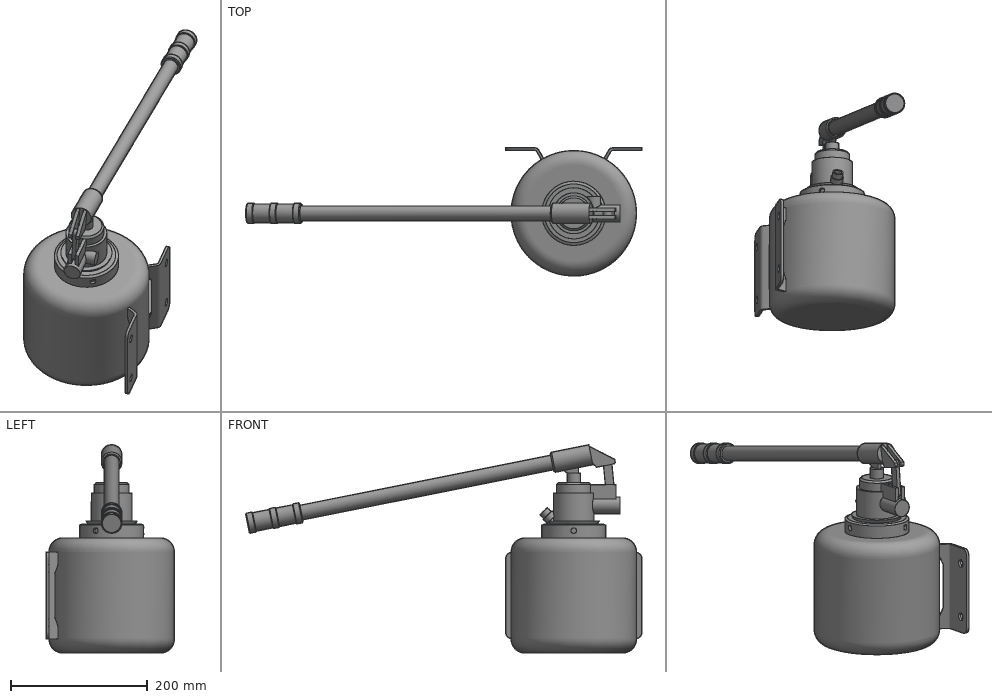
import cadquery as cq
import math


overall_length = 580.5
overall_width = 188.0
overall_height = 305.5

tank_diameter = 184.0
tank_radius = tank_diameter / 2
tank_height = 169.0
tank_fillet = 21.0

collar_diameter = 94.0
collar_height = 20.5
collar_chamfer_width = 4.0
collar_chamfer_height = 2.0
collar_top = tank_height + collar_height
set_screw_hole_diameter = 8.0
set_screw_hole_depth = 4.5
set_screw_hole_z = tank_height + 10.5
set_screw_angles = (-90, 30, 150)

bracket_half_width = 100.0
bracket_back_y = overall_width - tank_radius
bracket_thickness = 4.0
bracket_bottom = tank_fillet
bracket_height = tank_height - 2 * tank_fillet
bracket_corner_radius = 10.0
web_angle = 60
web_bend_radius = 3.5
bracket_hole_diameter = 11.0
bracket_hole_spacing = 80.0
bracket_hole_edge_distance = 16.0
relief_depth = 5.0
relief_end_land = 19.0
relief_slope_height = 11.5

flange_top_diameter = 75.0
flange_bottom_diameter = 70.0
flange_height = 4.5
barrel_diameter = 60.0
barrel_height = 40.5
cap_diameter = 51.0
cap_height = 15.0
cap_chamfer = 3.0
flange_top = collar_top + flange_height
barrel_top = flange_top + barrel_height
cap_top = barrel_top + cap_height

outlet_diameter = 25.0
outlet_z = 216.5
outlet_end_x = 68.0
side_port_diameter = 20.0
side_port_x = 29.5
side_port_end_y = 25.0

filler_angle = 45
filler_tip_x = -44.0
filler_tip_z = 208.0
filler_tip_diameter = 15.0
filler_tip_length = 8.0
filler_neck_diameter = 18.0
filler_length = 17.0
filler_bore_diameter = 11.0
filler_bore_depth = 8.0

clevis_gap = 6.0
clevis_plate = 5.0
lug_start_x = 20.5
lug_end_x = 62.0
lug_top = cap_top - cap_chamfer

rod_diameter = 20.0
rod_top = 263.5
rod_bottom = barrel_top
tongue_right_x = 7.0
tongue_left_x = -15.5
tongue_foot_left_x = -9.0
tongue_shoulder_z = 268.0
tongue_top = 280.0

lever_angle = 11.3
lever_origin_x = 25.0
tube_diameter = 22.0
sleeve_diameter = 30.0
sleeve_length = 58.0
sleeve_chamfer = 2.5
grip_diameter = 28.0
grip_ring_diameter = 30.0
grip_ring_width = 11.0
grip_ring_pitch = 35.0
grip_ring_count = 3
grip_ring_chamfer = 1.45
lever_cos = math.cos(math.radians(lever_angle))
lever_sin = math.sin(math.radians(lever_angle))
lever_origin_z = overall_height - sleeve_diameter / 2 * lever_cos
grip_end_radius = grip_ring_diameter / 2 - grip_ring_chamfer
lever_left_x = bracket_half_width - overall_length
lever_length = (lever_origin_x - lever_left_x - grip_end_radius * lever_sin) / lever_cos
fork_length = 33.0
fork_bottom_v = -20.0
fork_shoulder_v = 13.0
fork_tip_top_v = -13.5
fork_tip_chamfer = 2.0
fork_heel_u = 4.5

link_width = 13.0
link_bottom_x = 53.5
link_bottom_z = 237.5
link_top_x = 49.5
link_top_z = 279.0


def upright_cylinder(diameter, bottom, height):
    """Cylinder on the Z axis."""
    return cq.Workplane("XY").workplane(offset=bottom).circle(diameter / 2).extrude(height)


def cylinder_along(diameter, start, direction, length):
    """Cylinder that runs from a start point in a given direction."""
    return cq.Workplane(cq.Solid.makeCylinder(diameter / 2, length, cq.Vector(*start), cq.Vector(*direction)))


def make_collar():
    """Chamfered ring on the tank with blind radial set screw holes."""
    collar = upright_cylinder(collar_diameter, tank_height, collar_height)
    collar = collar.faces(">Z").edges().chamfer(collar_chamfer_height, collar_chamfer_width)
    for angle in set_screw_angles:
        cos_a = math.cos(math.radians(angle))
        sin_a = math.sin(math.radians(angle))
        outer = collar_diameter / 2
        start = (outer * cos_a, outer * sin_a, set_screw_hole_z)
        collar = collar.cut(
            cylinder_along(set_screw_hole_diameter, start, (-cos_a, -sin_a, 0), set_screw_hole_depth)
        )
    return collar


def make_left_wing():
    """Flat wall flange, a bend, and a web that points at the tank axis."""
    middle_y = bracket_back_y - bracket_thickness / 2
    cos_w = math.cos(math.radians(web_angle))
    sin_w = math.sin(math.radians(web_angle))
    half = bracket_thickness / 2
    bend_x = -middle_y / math.tan(math.radians(web_angle))
    miter = half * math.tan(math.radians(web_angle / 2))
    inner_radius = tank_radius - bracket_thickness

    def web_point(radius, side):
        return (-radius * cos_w + side * half * sin_w, radius * sin_w + side * half * cos_w)

    outline = [
        (-bracket_half_width, bracket_back_y),
        (bend_x + miter, bracket_back_y),
        web_point(inner_radius, 1),
        web_point(inner_radius, -1),
        (bend_x - miter, bracket_back_y - bracket_thickness),
        (-bracket_half_width, bracket_back_y - bracket_thickness),
    ]
    wing = cq.Workplane("XY").workplane(offset=bracket_bottom).polyline(outline).close().extrude(bracket_height)
    inner_bend = cq.selectors.NearestToPointSelector((*outline[4], bracket_bottom + bracket_height / 2))
    outer_bend = cq.selectors.NearestToPointSelector((*outline[1], bracket_bottom + bracket_height / 2))
    wing = wing.edges("|Z").edges(inner_bend).fillet(web_bend_radius)
    wing = wing.edges("|Z").edges(outer_bend).fillet(web_bend_radius + bracket_thickness)
    wing = wing.faces("<X").edges("|Y").fillet(bracket_corner_radius)
    return wing.cut(flange_holes()).cut(web_relief())


def flange_holes():
    """Two screw holes through the wall flange, one above the other."""
    hole_x = -bracket_half_width + bracket_hole_edge_distance
    middle_z = bracket_bottom + bracket_height / 2
    return (
        cq.Workplane("XZ", origin=(hole_x, bracket_back_y, middle_z))
        .rarray(6, bracket_hole_spacing, 1, 2)
        .circle(bracket_hole_diameter / 2)
        .extrude(bracket_thickness)
    )


def web_relief():
    """Ring around the tank that frees the middle of the web from the tank wall."""
    low = bracket_bottom + relief_end_land
    high = bracket_bottom + bracket_height - relief_end_land
    outer = tank_radius + relief_depth
    return (
        cq.Workplane("XZ")
        .moveTo(0, low)
        .lineTo(tank_radius, low)
        .lineTo(outer, low + relief_slope_height)
        .lineTo(outer, high - relief_slope_height)
        .lineTo(tank_radius, high)
        .lineTo(0, high)
        .close()
        .revolve(360, (0, 0), (0, 1))
    )


def make_tank():
    """Rounded tank with both bracket wings and the collar welded on."""
    shell = upright_cylinder(tank_diameter, 0, tank_height).edges().fillet(tank_fillet)
    left_wing = make_left_wing()
    right_wing = left_wing.mirror("YZ")
    return shell.union(left_wing).union(right_wing).union(make_collar())


def add_filler(body):
    """Slanted filler tube with a stepped tip and an open bore."""
    cos_f = math.cos(math.radians(filler_angle))
    sin_f = math.sin(math.radians(filler_angle))
    inward = (cos_f, 0, -sin_f)
    tip = (filler_tip_x, 0, filler_tip_z)
    neck = (filler_tip_x + filler_tip_length * cos_f, 0, filler_tip_z - filler_tip_length * sin_f)
    neck_length = filler_length - filler_tip_length
    body = body.union(cylinder_along(filler_tip_diameter, tip, inward, filler_tip_length))
    body = body.union(cylinder_along(filler_neck_diameter, neck, inward, neck_length))
    return body.cut(cylinder_along(filler_bore_diameter, tip, inward, filler_bore_depth))


def make_lug():
    """Two plates that stand on the outlet and hold the link."""
    plates = cq.Workplane("XY")
    length = lug_end_x - lug_start_x
    for side in (-1, 1):
        middle_y = side * (clevis_gap + clevis_plate) / 2
        plate = cq.Workplane("XY").box(length, clevis_plate, lug_top - outlet_z, centered=(False, True, False))
        plates = plates.add(plate.translate((lug_start_x, middle_y, outlet_z)))
    return plates.combine()


def make_pump_body():
    """Tapered flange, barrel and cap, with outlet, side port, lug, filler and rod bore."""
    flange = (
        cq.Workplane("XY", origin=(0, 0, collar_top))
        .circle(flange_bottom_diameter / 2)
        .workplane(offset=flange_height)
        .circle(flange_top_diameter / 2)
        .loft()
    )
    barrel = upright_cylinder(barrel_diameter, flange_top, barrel_height)
    cap = upright_cylinder(cap_diameter, barrel_top, cap_height).faces(">Z").edges().chamfer(cap_chamfer)
    outlet = cylinder_along(outlet_diameter, (0, 0, outlet_z), (1, 0, 0), outlet_end_x)
    side_port = cylinder_along(side_port_diameter, (side_port_x, 0, outlet_z), (0, 1, 0), side_port_end_y)
    body = flange.union(barrel).union(cap).union(outlet).union(side_port).union(make_lug())
    body = add_filler(body)
    return body.cut(upright_cylinder(rod_diameter, rod_bottom, cap_height))


def make_piston_rod():
    """Round rod with a flat tongue that enters the lever sleeve."""
    rod = upright_cylinder(rod_diameter, rod_bottom, rod_top - rod_bottom)
    tongue = (
        cq.Workplane("XZ")
        .moveTo(tongue_foot_left_x, rod_top)
        .lineTo(tongue_right_x, rod_top)
        .lineTo(tongue_right_x, tongue_top)
        .lineTo(tongue_left_x, tongue_top)
        .lineTo(tongue_left_x, tongue_shoulder_z)
        .close()
        .extrude(clevis_gap / 2, both=True)
    )
    return rod.union(tongue)


def lever_plane():
    """Plane with local X along the lever and local Y upward across it."""
    origin = (lever_origin_x, 0, lever_origin_z)
    return cq.Plane(origin=origin, xDir=(lever_cos, 0, lever_sin), normal=(0, -1, 0))


def lever_round(diameter, start, length):
    """Round section of the lever that begins at u = start."""
    direction = (lever_cos, 0, lever_sin)
    point = (lever_origin_x + start * lever_cos, 0, lever_origin_z + start * lever_sin)
    return cylinder_along(diameter, point, direction, length)


def make_fork():
    """Two parallel plates on the sleeve end face that hold the link."""
    outline = [
        (0, fork_shoulder_v),
        (fork_length, fork_tip_top_v),
        (fork_length, fork_bottom_v + fork_tip_chamfer),
        (fork_length - fork_tip_chamfer, fork_bottom_v),
        (fork_heel_u, fork_bottom_v),
        (0, -fork_shoulder_v),
    ]
    full_width = clevis_gap + 2 * clevis_plate
    block = cq.Workplane(lever_plane()).polyline(outline).close().extrude(full_width / 2, both=True)
    slot = cq.Workplane(lever_plane()).polyline(outline).close().extrude(clevis_gap / 2, both=True)
    return block.cut(slot)


def make_sleeve():
    """Sleeve over the tube, chamfered at the end toward the grip."""
    sleeve = lever_round(sleeve_diameter, -sleeve_length, sleeve_length)
    return sleeve.faces("<X").edges().chamfer(sleeve_chamfer)


def make_grip():
    """Grip body with evenly spaced chamfered rings, the first one at the free end."""
    grip_length = (grip_ring_count - 1) * grip_ring_pitch
    grip = lever_round(grip_diameter, -lever_length + grip_ring_width / 2, grip_length)
    for index in range(grip_ring_count):
        start = -lever_length + index * grip_ring_pitch
        ring = lever_round(grip_ring_diameter, start, grip_ring_width)
        grip = grip.union(ring.edges("%CIRCLE").chamfer(grip_ring_chamfer))
    return grip


def make_lever(piston_rod):
    """Tube with sleeve, fork and grip, pocketed for the tongue of the piston rod."""
    tube = lever_round(tube_diameter, -lever_length, lever_length)
    return tube.union(make_sleeve()).union(make_grip()).union(make_fork()).cut(piston_rod)


def make_link():
    """Flat bar with round ends that stands between the clevis plates."""
    run_x = link_top_x - link_bottom_x
    run_z = link_top_z - link_bottom_z
    length = math.hypot(run_x, run_z)
    angle = math.degrees(math.atan2(run_z, run_x))
    middle = ((link_top_x + link_bottom_x) / 2, 0, (link_top_z + link_bottom_z) / 2)
    return (
        cq.Workplane("XZ", origin=middle)
        .slot2D(length + link_width, link_width, angle)
        .extrude(clevis_gap / 2, both=True)
    )


tank = make_tank()
pump_body = make_pump_body()
piston_rod = make_piston_rod()
lever = make_lever(piston_rod)
link = make_link()

bodies = [tank, pump_body, piston_rod, lever, link]
result = cq.Compound.makeCompound([body.solids().val() for body in bodies])